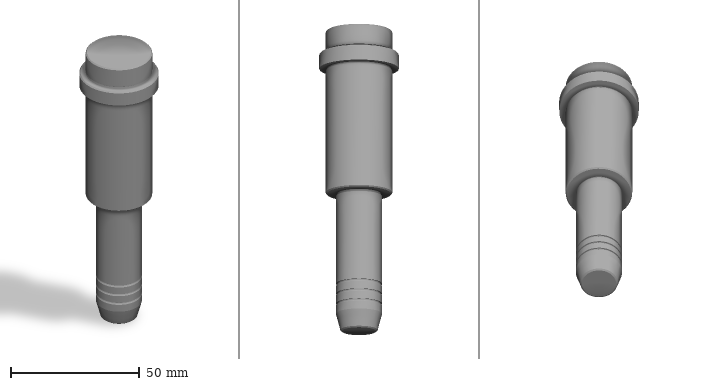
import cadquery as cq
import math

total_height = 120.0
collar_top = 111.0
collar_bottom = 105.0
body_bottom = 55.0

body_radius = 25.9 / 2
collar_radius = 31.0 / 2
pin_radius = 18.0 / 2

edge_chamfer = 0.5
tip_chamfer = 0.5

taper_height = 7.0
taper_angle = 15.0
taper_end_radius = pin_radius - taper_height * math.tan(math.radians(taper_angle))

relief_depth = 0.5
relief_floor = 0.4
relief_width = 1.0

neck_bottom = body_bottom - relief_width

ring_count = 3
ring_pitch = 4.0
first_ring_top = 19.0


def cylinder(radius, bottom, top):
    return cq.Workplane("XY").workplane(offset=bottom).circle(radius).extrude(top - bottom)


def relief_cutter(radius, top):
    """Ring of relief section that cuts into a cylinder below the given height."""
    floor_radius = radius - relief_depth
    section = [
        (radius, top),
        (floor_radius, top),
        (floor_radius, top - relief_floor),
        (radius, top - relief_width),
    ]
    return cq.Workplane("XZ").polyline(section).close().revolve(360, (0, 0), (0, 1))


head = cylinder(body_radius, collar_top, total_height).faces(">Z").edges().chamfer(edge_chamfer)
head = head.cut(relief_cutter(body_radius, collar_top + relief_width))

collar = cylinder(collar_radius, collar_bottom, collar_top).faces(">Z").edges().chamfer(edge_chamfer)

body = cylinder(body_radius, body_bottom, collar_bottom).faces("<Z").edges().chamfer(edge_chamfer)
body = body.cut(relief_cutter(body_radius, collar_bottom))

taper = (
    cq.Workplane("XY")
    .circle(taper_end_radius)
    .workplane(offset=taper_height)
    .circle(pin_radius)
    .loft()
    .faces("<Z")
    .edges()
    .chamfer(tip_chamfer)
)
pin = cylinder(pin_radius, taper_height, body_bottom).union(taper)

neck_ring = cylinder(pin_radius, neck_bottom, body_bottom)
neck_ring = neck_ring.cut(cylinder(pin_radius - relief_depth, neck_bottom, body_bottom))
pin = pin.cut(neck_ring)
for index in range(ring_count):
    pin = pin.cut(relief_cutter(pin_radius, first_ring_top - index * ring_pitch))

result = head.union(collar).union(body).union(pin)